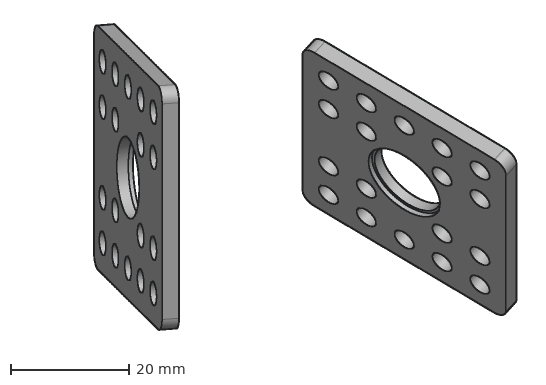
import cadquery as cq

side = 43.0
thickness = 3.0
corner_radius = 2.5

hole_diameter = 4.1
hole_pitch = 8.0
bore_diameter = 14.0

recess_diameter = 15.1
recess_depth = 1.0

columns = (-2, -1, 0, 1, 2)
rows = (-2, -1, 1, 2)


def is_clear_of_bore(column, row):
    """The holes directly above and below the bore would run into it."""
    return not (column == 0 and abs(row) == 1)


hole_centres = [
    (column * hole_pitch, row * hole_pitch)
    for column in columns
    for row in rows
    if is_clear_of_bore(column, row)
]

plate = (
    cq.Workplane("XZ")
    .rect(side, side)
    .extrude(thickness)
    .edges("|Y")
    .fillet(corner_radius)
)

bore = cq.Workplane("XZ").circle(bore_diameter / 2).extrude(thickness)

recess = cq.Workplane("XZ").circle(recess_diameter / 2).extrude(recess_depth)

small_holes = (
    cq.Workplane("XZ")
    .pushPoints(hole_centres)
    .circle(hole_diameter / 2)
    .extrude(thickness)
)

result = plate.cut(bore).cut(recess).cut(small_holes)